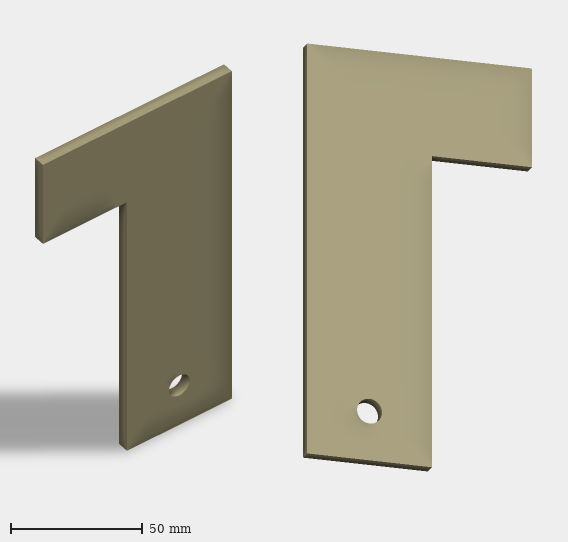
import cadquery as cq

thickness = 5.0
width = 90.0
height = 166.0

leg_width = 50.0
arm_height = 40.0

hole_diameter = 10.0
hole_height = 20.0

leg = cq.Workplane("XY").box(thickness, leg_width, height, centered=False)
leg = leg.translate((0, width - leg_width, 0))
arm = cq.Workplane("XY").box(thickness, width, arm_height, centered=False)
arm = arm.translate((0, 0, height - arm_height))
plate = leg.union(arm).clean()

hole_y = width - leg_width / 2
hole = (
    cq.Workplane("YZ")
    .center(hole_y, hole_height)
    .circle(hole_diameter / 2)
    .extrude(thickness)
)

result = plate.cut(hole)